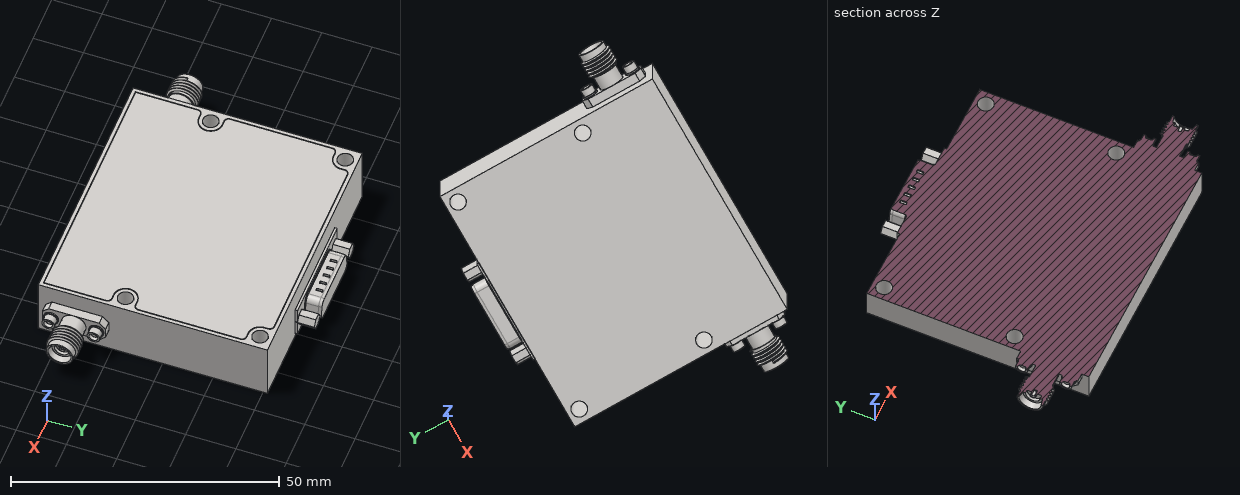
import cadquery as cq
import math


overall_width = 69.85
body_width = 50.85
body_length = 45.6
body_height = 12.7

hole_dia = 3.1
hole_span_x = 45.7
hole_inset_back = 2.45
hole_pitch_y = 26.75
hole_x = hole_span_x / 2
back_hole_y = body_length - hole_inset_back
front_hole_y = back_hole_y - hole_pitch_y

seam_inset = 0.8
seam_width = 0.1
seam_depth = 0.1
lobe_radius = 2.3
lobe_blend = 0.9

coax_y = 7.75
coax_z = body_height / 2
coax_reach = (overall_width - body_width) / 2
flange_length = 12.6
flange_width = 4.8
flange_thickness = 1.75
flange_chamfer = 1.25
barrel_dia = 4.8
nose_dia = 5.3
nose_start = 4.6

thread_dia = 6.2
thread_pitch = 0.7
thread_flank_height = 0.6
thread_crest_width = 0.1
thread_overlap = 0.1
thread_start = nose_start + thread_flank_height / 2
thread_end = 8.25

socket_mouth_dia = 4.55
socket_floor_dia = 3.9
socket_depth = 1.25
cavity_dia = 2.9
cavity_depth = 0.7
contact_dia = 1.2
contact_mouth_dia = 0.9
contact_bore_dia = 0.545
contact_lead_in = 0.2
contact_bore_depth = 1.4

screw_pitch = 9.0
washer_dia = 2.9
washer_thickness = 0.3
screw_head_dia = 2.5
screw_head_reach = 3.4
recess_mouth_dia = 1.75
recess_floor_dia = 1.2
recess_depth = 0.55

multipin_z = 4.25
multipin_reach = 3.85
plate_width = 21.2
plate_height = 6.85
plate_thickness = 0.5
shell_width = 14.7
shell_height = 4.9
shell_side_angle = 10.0
shell_corner_radius = 1.4
shell_lip_length = 0.6
shell_lip_inset = 0.15
collar_margin = 0.15
collar_thickness = 0.2

jack_spacing = 18.2
jack_across_corners = 3.1
jack_sides = 6
jack_count = 2

slot_count = 5
slot_pitch = 1.9
slot_width = 0.5
slot_length = 1.25
slot_depth = 0.55
slot_setback = 0.9


def cylinder(dia, start, end):
    """Cylinder along Z between two heights."""
    return cq.Workplane("XY").workplane(offset=start).circle(dia / 2).extrude(end - start)


def cone(start_dia, start, end_dia, end):
    """Cone along Z between two heights."""
    lower = cq.Workplane("XY").workplane(offset=start).circle(start_dia / 2)
    return lower.workplane(offset=end - start).circle(end_dia / 2).loft(ruled=True)


def make_body():
    body = cq.Workplane("XY").box(body_width, body_length, body_height, centered=(True, False, False))
    hole_centres = [(side * hole_x, y) for side in (-1, 1) for y in (front_hole_y, back_hole_y)]
    holes = cq.Workplane("XY").pushPoints(hole_centres).circle(hole_dia / 2).extrude(body_height)
    return body.cut(holes)


def seam_block(x_range, y_range):
    """Block of seam depth between two X and two Y positions, standing on the XY plane."""
    (x0, x1), (y0, y1) = x_range, y_range
    centred = cq.Workplane("XY").rect(abs(x1 - x0), abs(y1 - y0)).extrude(seam_depth)
    return centred.translate(((x0 + x1) / 2, (y0 + y1) / 2, 0))


def make_lid():
    """Lid area: an inset rectangle relieved and blended around each mounting hole."""
    half_width = body_width / 2 - seam_inset
    lid = seam_block((-half_width, half_width), (seam_inset, body_length - seam_inset))
    for side in (-1, 1):
        for y in (front_hole_y, back_hole_y):
            lobe = cylinder(2 * lobe_radius, 0, seam_depth).translate((side * hole_x, y, 0))
            edge_strip = seam_block(
                (side * hole_x, side * body_width / 2), (y - lobe_radius, y + lobe_radius)
            )
            lid = lid.cut(lobe).cut(edge_strip)
        back_strip = seam_block(
            (side * (hole_x - lobe_radius), side * body_width / 2), (back_hole_y, body_length)
        )
        lid = lid.cut(back_strip)
    blended_area = cq.selectors.BoxSelector(
        (-body_width, 2 * seam_inset, -seam_depth), (body_width, body_length, 2 * seam_depth)
    )
    return lid.edges("|Z").edges(blended_area).fillet(lobe_blend)


def make_seam():
    """Thin ring just inside the lid outline, at the top of the housing."""
    lid = make_lid()
    outline = lid.faces("<Z").wires().vals()
    inner = cq.Workplane("XY").add(outline).toPending().offset2D(-seam_width).extrude(seam_depth)
    return lid.cut(inner).translate((0, 0, body_height - seam_depth))


def make_thread():
    """Helical ridge along Z with a tapered profile, sunk slightly into the nose."""
    root = nose_dia / 2 - thread_overlap
    crest = thread_dia / 2
    helix = cq.Wire.makeHelix(thread_pitch, thread_end - thread_start, root)
    profile = cq.Workplane("XZ").polyline([
        (root, -thread_flank_height / 2),
        (crest, -thread_crest_width / 2),
        (crest, thread_crest_width / 2),
        (root, thread_flank_height / 2),
    ]).close()
    return profile.sweep(cq.Workplane(helix), isFrenet=True).translate((0, 0, thread_start))


def make_screw():
    washer = cylinder(washer_dia, flange_thickness, flange_thickness + washer_thickness)
    head = cylinder(screw_head_dia, flange_thickness, screw_head_reach)
    recess = cone(recess_floor_dia, screw_head_reach - recess_depth, recess_mouth_dia, screw_head_reach)
    return washer.union(head).cut(recess)


def make_coax():
    """Coaxial connector standing on the XY plane, with its flange long in X."""
    floor = coax_reach - socket_depth
    flange = cq.Workplane("XY").rect(flange_length, flange_width).extrude(flange_thickness)
    flange = flange.edges("|Z").chamfer(flange_chamfer)
    coax = flange.union(cylinder(barrel_dia, 0, nose_start))
    coax = coax.union(cylinder(nose_dia, nose_start, coax_reach)).union(make_thread())
    coax = coax.cut(cone(socket_floor_dia, floor, socket_mouth_dia, coax_reach))
    coax = coax.cut(cylinder(cavity_dia, floor - cavity_depth, floor))
    coax = coax.union(cylinder(contact_dia, floor - cavity_depth, floor))
    coax = coax.cut(cylinder(contact_bore_dia, floor - contact_bore_depth, floor))
    coax = coax.cut(cone(contact_bore_dia, floor - contact_lead_in, contact_mouth_dia, floor))
    for side in (-1, 1):
        coax = coax.union(make_screw().translate((side * screw_pitch / 2, 0, 0)))
    return coax


def place_coax(coax, side):
    """Stand the connector on the left (-1) or right (+1) face, flange along Y."""
    turned = coax.rotate((0, 0, 0), (0, 0, 1), 90).rotate((0, 0, 0), (0, 1, 0), side * 90)
    return turned.translate((side * body_width / 2, coax_y, coax_z))


def d_shape(margin, length):
    """D-shaped block along +Y, narrow side up, grown by margin in width and height."""
    half_height = shell_height / 2 + margin
    side_slope = math.tan(math.radians(shell_side_angle))
    mid_half_width = (shell_width - shell_height * side_slope) / 2
    slant = half_height * side_slope
    half_wide = mid_half_width + margin + slant
    half_narrow = mid_half_width + margin - slant
    solid = cq.Workplane("XZ").polyline([
        (-half_narrow, half_height),
        (half_narrow, half_height),
        (half_wide, -half_height),
        (-half_wide, -half_height),
    ]).close().extrude(-length)
    return solid.edges("|Y").fillet(shell_corner_radius + margin)


def make_multipin():
    """Multi-pin connector growing along +Y from the XZ plane, centred on the origin."""
    plate = cq.Workplane("XY").box(plate_width, plate_thickness, plate_height, centered=(True, False, True))

    shell = d_shape(0, multipin_reach).faces(">Y").chamfer(shell_lip_length, shell_lip_inset)
    collar = d_shape(collar_margin, plate_thickness + collar_thickness)

    slots = cq.Workplane("XY").workplane(offset=shell_height / 2 - slot_depth)
    slots = slots.center(0, multipin_reach - slot_setback - slot_length / 2)
    slots = slots.rarray(slot_pitch, 0.7, slot_count, 1).rect(slot_width, slot_length).extrude(slot_depth)

    jacks = cq.Workplane("XZ").rarray(jack_spacing, 0.7, jack_count, 1)
    jacks = jacks.polygon(jack_sides, jack_across_corners).extrude(-multipin_reach)
    return plate.union(collar).union(shell.cut(slots)).union(jacks)


coax = make_coax()
result = make_body().cut(make_seam())
for side in (-1, 1):
    result = result.union(place_coax(coax, side))
result = result.union(make_multipin().translate((0, body_length, multipin_z)))